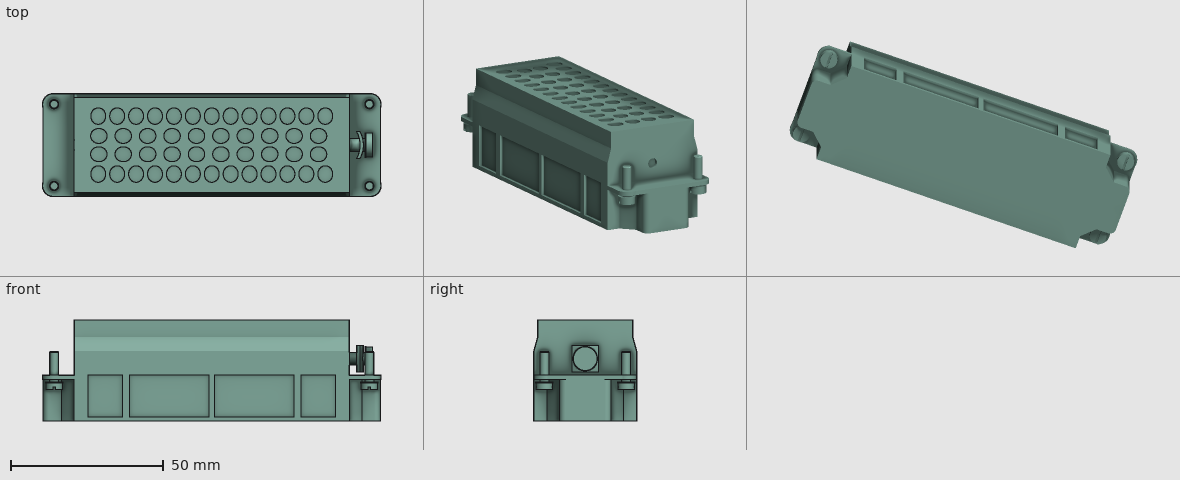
import cadquery as cq

TOTAL_LENGTH = 111.0
TOTAL_WIDTH = 33.8
TOTAL_HEIGHT = 33.2

BODY_LENGTH = 90.2
TOP_WIDTH = 31.2
SHOULDER_LOW_Z = 22.9
SHOULDER_HIGH_Z = 27.6

PLATE_TOP_Z = 15.1
PLATE_THICKNESS = 1.4
PLATE_STRAIGHT_LENGTH = 110.7
PLATE_CORNER_RADIUS = 3.6
PLATE_BOTTOM_Z = PLATE_TOP_Z - PLATE_THICKNESS

BLOCK_HALF_WIDTH = 8.5
BLOCK_ROOT_HALF_WIDTH = 12.5
BLOCK_TAPER_X = 49.3
BLOCK_CORNER_RADIUS = 2.0

POCKET_BOTTOM_Z = 1.4
POCKET_DEPTH = 1.0
INNER_POCKET_NEAR_X = 0.85
INNER_POCKET_FAR_X = 26.9
OUTER_POCKET_NEAR_X = 29.3
OUTER_POCKET_FAR_X = 40.6

OVAL_LONG = 5.4
OVAL_SHORT = 4.9
OVAL_DEPTH = 0.5
OUTER_ROW_Y = 9.5
OUTER_ROW_COUNT = 13
OUTER_ROW_PITCH = 6.2
OUTER_ROW_START_X = -OUTER_ROW_PITCH * (OUTER_ROW_COUNT - 1) / 2
INNER_ROW_Y = 3.0
INNER_ROW_COUNT = 10
INNER_ROW_PITCH = 8.0
INNER_ROW_START_X = -37.0

SCREW_X = 51.65
SCREW_Y = 13.4
SCREW_DIAMETER = 3.0
SCREW_TIP_DIAMETER = 2.6
SCREW_TIP_Z = 22.8
HEAD_DIAMETER = 5.5
HEAD_TOP_Z = 12.9
HEAD_HEIGHT = 2.5
HEAD_RIM_DIAMETER = 5.7
RIM_HEIGHT = 0.35
SLOT_WIDTH = 0.8
SLOT_DEPTH = 0.8

TERMINAL_Z = 20.5
TERMINAL_SHAFT_DIAMETER = 4.2
TERMINAL_HEAD_DIAMETER = 7.8
TERMINAL_RIM_DIAMETER = 8.0
TERMINAL_HEAD_X = 50.25
TERMINAL_HEAD_THICKNESS = 2.5
CLAMP_SIZE = 8.8
CLAMP_THICKNESS = 1.1
CLAMP_CREST_X = 49.7
CLAMP_SAG = 1.1
END_HOLE_DIAMETER = 3.3
END_HOLE_DEPTH = 1.2


def make_body():
    half_width = TOTAL_WIDTH / 2
    half_top = TOP_WIDTH / 2
    section = [
        (-half_width, 0),
        (half_width, 0),
        (half_width, SHOULDER_LOW_Z),
        (half_top, SHOULDER_HIGH_Z),
        (half_top, TOTAL_HEIGHT),
        (-half_top, TOTAL_HEIGHT),
        (-half_top, SHOULDER_HIGH_Z),
        (-half_width, SHOULDER_LOW_Z),
    ]
    return cq.Workplane("YZ").polyline(section).close().extrude(BODY_LENGTH / 2, both=True)


def make_plate():
    """Plate whose corner lobes stand slightly proud of its straight ends."""
    base = cq.Workplane("XY", origin=(0, 0, PLATE_BOTTOM_Z))
    plate = base.rect(PLATE_STRAIGHT_LENGTH, TOTAL_WIDTH).extrude(PLATE_THICKNESS)
    plate = plate.edges("|Z").fillet(PLATE_CORNER_RADIUS)
    lobe_spacing_x = TOTAL_LENGTH - 2 * PLATE_CORNER_RADIUS
    lobe_spacing_y = TOTAL_WIDTH - 2 * PLATE_CORNER_RADIUS
    lobes = base.rect(lobe_spacing_x, lobe_spacing_y, forConstruction=True).vertices()
    return plate.union(lobes.circle(PLATE_CORNER_RADIUS).extrude(PLATE_THICKNESS))


def make_end_blocks():
    end_x = PLATE_STRAIGHT_LENGTH / 2
    root_x = BODY_LENGTH / 2
    outline = [
        (end_x, BLOCK_HALF_WIDTH),
        (BLOCK_TAPER_X, BLOCK_HALF_WIDTH),
        (root_x, BLOCK_ROOT_HALF_WIDTH),
        (root_x, -BLOCK_ROOT_HALF_WIDTH),
        (BLOCK_TAPER_X, -BLOCK_HALF_WIDTH),
        (end_x, -BLOCK_HALF_WIDTH),
    ]
    block = cq.Workplane("XY").polyline(outline).close().extrude(PLATE_BOTTOM_Z)
    block = block.faces(">X").edges("|Z").fillet(BLOCK_CORNER_RADIUS)
    return block.union(block.mirror("YZ"))


def make_pockets():
    height = PLATE_TOP_Z - POCKET_BOTTOM_Z
    spans = [
        (INNER_POCKET_NEAR_X, INNER_POCKET_FAR_X),
        (OUTER_POCKET_NEAR_X, OUTER_POCKET_FAR_X),
    ]
    pockets = cq.Workplane("XY")
    for near_x, far_x in spans:
        for x_side in (-1, 1):
            for y_side in (-1, 1):
                centre = (
                    x_side * (near_x + far_x) / 2,
                    y_side * (TOTAL_WIDTH - POCKET_DEPTH) / 2,
                    POCKET_BOTTOM_Z + height / 2,
                )
                pocket = cq.Workplane("XY").box(far_x - near_x, POCKET_DEPTH, height)
                pockets = pockets.add(pocket.translate(centre))
    return pockets.combine()


def make_oval_recesses():
    floor = cq.Workplane("XY", origin=(0, 0, TOTAL_HEIGHT - OVAL_DEPTH))
    outer_points = []
    for column in range(OUTER_ROW_COUNT):
        x = OUTER_ROW_START_X + column * OUTER_ROW_PITCH
        outer_points += [(x, -OUTER_ROW_Y), (x, OUTER_ROW_Y)]
    inner_points = []
    for column in range(INNER_ROW_COUNT):
        x = INNER_ROW_START_X + column * INNER_ROW_PITCH
        inner_points += [(x, -INNER_ROW_Y), (x, INNER_ROW_Y)]
    outer = floor.pushPoints(outer_points).ellipse(OVAL_SHORT / 2, OVAL_LONG / 2).extrude(OVAL_DEPTH)
    inner = floor.pushPoints(inner_points).ellipse(OVAL_LONG / 2, OVAL_SHORT / 2).extrude(OVAL_DEPTH)
    return outer.union(inner)


def make_screw():
    head_bottom_z = HEAD_TOP_Z - HEAD_HEIGHT
    head = cq.Workplane("XY", origin=(0, 0, head_bottom_z)).circle(HEAD_DIAMETER / 2).extrude(HEAD_HEIGHT)
    rim = cq.Workplane("XY", origin=(0, 0, HEAD_TOP_Z - RIM_HEIGHT))
    rim = rim.circle(HEAD_RIM_DIAMETER / 2).extrude(RIM_HEIGHT)
    shaft = cq.Workplane("XY", origin=(0, 0, HEAD_TOP_Z)).circle(SCREW_DIAMETER / 2)
    shaft = shaft.extrude(SCREW_TIP_Z - HEAD_TOP_Z)
    shaft = shaft.faces(">Z").chamfer((SCREW_DIAMETER - SCREW_TIP_DIAMETER) / 2)
    slot = cq.Workplane("XY", origin=(0, 0, head_bottom_z)).rect(SLOT_WIDTH, 2 * HEAD_DIAMETER)
    return head.union(rim).union(shaft).cut(slot.extrude(SLOT_DEPTH))


def make_clamp():
    """Square plate, bowed about the Z direction with its crest away from the body."""
    half = CLAMP_SIZE / 2
    outer_end_x = CLAMP_CREST_X - CLAMP_SAG
    inner_end_x = outer_end_x - CLAMP_THICKNESS
    bow = (
        cq.Workplane("XY", origin=(0, 0, TERMINAL_Z))
        .moveTo(outer_end_x, -half)
        .threePointArc((CLAMP_CREST_X, 0), (outer_end_x, half))
        .lineTo(inner_end_x, half)
        .threePointArc((CLAMP_CREST_X - CLAMP_THICKNESS, 0), (inner_end_x, -half))
        .close()
    )
    return bow.extrude(half, both=True)


def make_terminal():
    root = cq.Workplane("YZ", origin=(BODY_LENGTH / 2, 0, TERMINAL_Z))
    shaft = root.circle(TERMINAL_SHAFT_DIAMETER / 2).extrude(TERMINAL_HEAD_X - BODY_LENGTH / 2)
    head_base = cq.Workplane("YZ", origin=(TERMINAL_HEAD_X, 0, TERMINAL_Z))
    head = head_base.circle(TERMINAL_HEAD_DIAMETER / 2).extrude(TERMINAL_HEAD_THICKNESS)
    rim = head_base.circle(TERMINAL_RIM_DIAMETER / 2).extrude(RIM_HEIGHT)
    return shaft.union(head).union(rim).union(make_clamp())


def make_end_hole():
    hole = cq.Workplane("YZ", origin=(-BODY_LENGTH / 2, 0, TERMINAL_Z))
    return hole.circle(END_HOLE_DIAMETER / 2).extrude(END_HOLE_DEPTH)


result = make_body().union(make_plate()).union(make_end_blocks())
result = result.cut(make_pockets()).cut(make_oval_recesses()).cut(make_end_hole())
screw = make_screw()
for screw_x in (-SCREW_X, SCREW_X):
    for screw_y in (-SCREW_Y, SCREW_Y):
        result = result.union(screw.translate((screw_x, screw_y, 0)))
result = result.union(make_terminal())